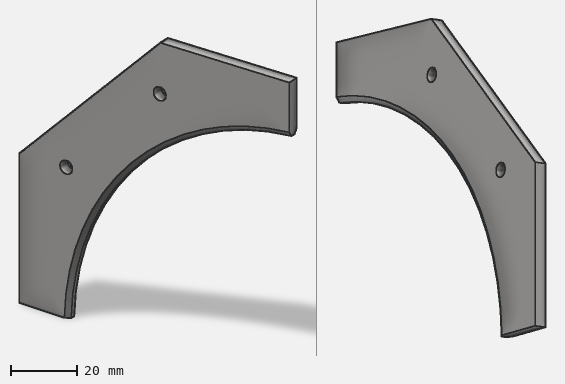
import cadquery as cq
import math

thickness = 4.0
length_x = 99.34
height_z = 102.56
corner_cut = 51.9

arc_center_offset = 104.5
arc_radius = 86.2
bevel_width = 1.7
bevel_depth = 1.15

hole_diameter = 4.5
hole_near = 17.27
hole_far = 51.67

foot_angle = math.asin((arc_center_offset - height_z) / arc_radius)
foot_slope = math.tan(foot_angle)


def make_plate():
    """Plate with its lower end running on past the inner arc, extruded to +Y."""
    foot_left_z = -arc_center_offset + arc_center_offset * foot_slope
    foot_right_z = -arc_center_offset + (arc_center_offset - length_x) * foot_slope
    return (
        cq.Workplane("XZ")
        .moveTo(corner_cut, 0)
        .lineTo(length_x, 0)
        .lineTo(length_x, foot_right_z)
        .lineTo(0, foot_left_z)
        .lineTo(0, -corner_cut)
        .close()
        .extrude(-thickness)
    )


def make_arc_cutter():
    """Cylinder that clears the inner arc, flared to bevel the arc at both faces."""
    flared_radius = arc_radius + bevel_width
    profile = (
        cq.Workplane("XY")
        .lineTo(flared_radius, 0)
        .lineTo(arc_radius, bevel_depth)
        .lineTo(arc_radius, thickness - bevel_depth)
        .lineTo(flared_radius, thickness)
        .lineTo(0, thickness)
        .close()
    )
    cutter = profile.revolve(360, (0, 0, 0), (0, 1, 0))
    return cutter.translate((arc_center_offset, 0, -arc_center_offset))


def make_holes():
    """Two through holes, mirrored about the diagonal of the outer corner."""
    centers = [(hole_far, -hole_near), (hole_near, -hole_far)]
    return cq.Workplane("XZ").pushPoints(centers).circle(hole_diameter / 2).extrude(-thickness)


result = make_plate().cut(make_arc_cutter()).cut(make_holes())